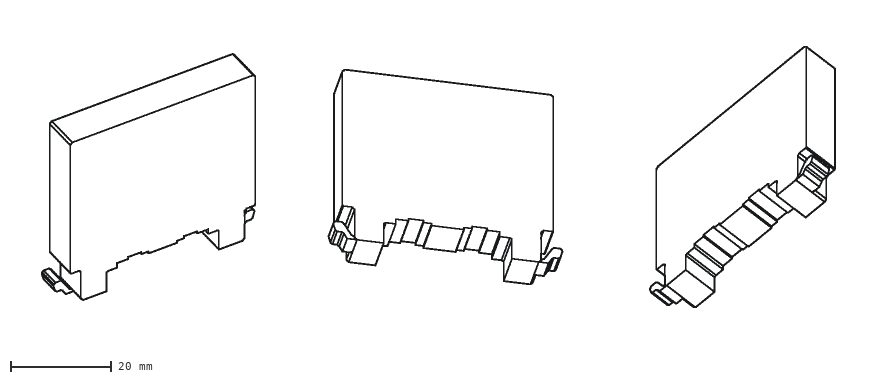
import cadquery as cq

width = 8.0
height = 41.0
half_length = 21.5
shoulder_height = 7.8
top_chamfer = 0.5
shoulder_chamfer = 0.2
foot_outer = 19.0
foot_inner = 13.05
foot_chamfer = 0.5
foot_root_chamfer = 0.5
arch_corner_run = 0.45
arch_corner_drop = 0.26

arch_steps = [(foot_inner, 5.0), (10.6, 6.15), (8.0, 6.65), (4.95, 6.15), (3.3, 5.65)]

hook_width = 4.6
hook_reach = 46.68 / 2
stem_underside_y = 20.5
stem_bevel_top_y = 21.58
stem_bevel_run = 0.42
stem_bevel_drop = 0.34
stem_shoulder = (19.65, 0.98)
stem_joint_height = 0.65
head_bottom = 1.46
head_top = 3.9
head_inner_y = 21.6
head_inner_bevel_run = 0.42
head_inner_bevel_drop = 0.36
head_lower_y = 22.54
head_lower_bevel_run = 0.42
head_lower_bevel_rise = 0.32
tip_facet_drop = 0.33
tip_lower_facet_run = 0.1
tip_upper_facet_run = 0.36


def make_housing():
    """Plate with two feet and a stepped arch, extruded along X."""
    outer_half = [
        (half_length - top_chamfer, height),
        (half_length, height - top_chamfer),
        (half_length, shoulder_height + shoulder_chamfer),
        (half_length - shoulder_chamfer, shoulder_height),
        (foot_outer + foot_root_chamfer, shoulder_height),
        (foot_outer, shoulder_height - foot_root_chamfer),
        (foot_outer, foot_chamfer),
        (foot_outer - foot_chamfer, 0),
        (foot_inner, 0),
    ]
    first_ceiling = arch_steps[0][1]
    arch_half = [
        (foot_inner, first_ceiling - arch_corner_drop),
        (foot_inner - arch_corner_run, first_ceiling),
    ]
    for (_, lower_ceiling), (step, ceiling) in zip(arch_steps, arch_steps[1:]):
        arch_half += [(step, lower_ceiling), (step, ceiling)]
    half_outline = outer_half + arch_half
    mirrored = [(-y, z) for y, z in reversed(half_outline)]
    return cq.Workplane("YZ").polyline(half_outline + mirrored).close().extrude(width)


def make_hook():
    """Hook on the +Y end, seated on the outer face and chamfer of the foot."""
    tip_upper_y = hook_reach - tip_lower_facet_run
    outline = [
        (foot_outer - foot_chamfer, 0),
        (stem_underside_y, 0),
        (stem_bevel_top_y - stem_bevel_run, head_bottom - stem_bevel_drop),
        (stem_bevel_top_y, head_bottom),
        (head_lower_y, head_bottom),
        (head_lower_y + head_lower_bevel_run, head_bottom + head_lower_bevel_rise),
        (hook_reach, head_top - 2 * tip_facet_drop),
        (tip_upper_y, head_top - tip_facet_drop),
        (tip_upper_y - tip_upper_facet_run, head_top),
        (head_inner_y, head_top),
        (head_inner_y - head_inner_bevel_run, head_top - head_inner_bevel_drop),
        stem_shoulder,
        (foot_outer, stem_joint_height),
        (foot_outer, foot_chamfer),
    ]
    return cq.Workplane("YZ").polyline(outline).close().extrude(hook_width)


housing = make_housing()
hook = make_hook()
hooks = [hook, hook.mirror("XZ")]

result = cq.Compound.makeCompound([housing.val(), *[h.val() for h in hooks]])